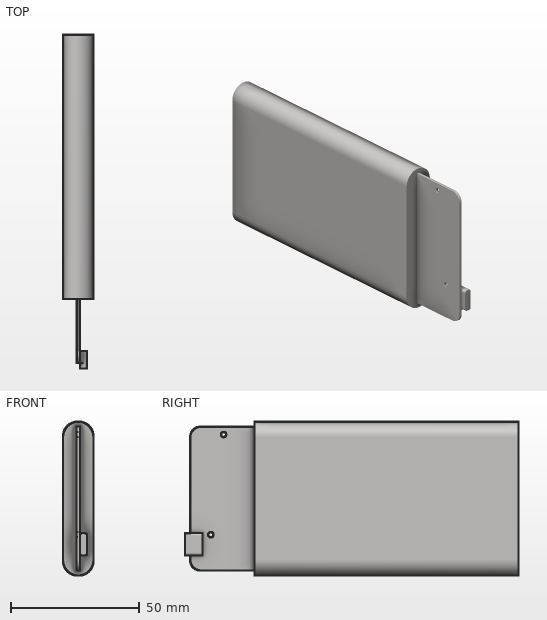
import cadquery as cq

total_length = 130.0
body_thickness = 12.0
body_height = 60.0

board_thickness = 1.2
board_height = 56.0
board_exposed_length = 25.0
board_corner_radius = 4.0
hole_diameter = 2.0
upper_hole_setback = 13.0
upper_hole_z = 25.0
lower_hole_setback = 8.0
lower_hole_z = -14.0

connector_overhang = 2.1
connector_length = 6.9
connector_thickness = 2.9
connector_height = 8.8
connector_corner_radius = 1.0
connector_z = -17.8

board_front_y = connector_overhang
body_front_y = board_front_y + board_exposed_length
body_length = total_length - body_front_y


def make_body():
    """Solid bar along Y with a rounded-end (slot-shaped) section."""
    section = cq.Workplane("XZ", origin=(0, body_front_y, 0))
    return section.slot2D(body_height, body_thickness, 90).extrude(-body_length)


def make_board():
    """Exposed board with rounded front corners and two through holes."""
    board = (
        cq.Workplane("XY")
        .box(board_thickness, board_exposed_length, board_height, centered=(True, False, True))
        .translate((0, board_front_y, 0))
        .edges("|X and <Y")
        .fillet(board_corner_radius)
    )
    hole_centres = [
        (board_front_y + upper_hole_setback, upper_hole_z),
        (board_front_y + lower_hole_setback, lower_hole_z),
    ]
    holes = (
        cq.Workplane("YZ")
        .pushPoints(hole_centres)
        .circle(hole_diameter / 2)
        .extrude(board_thickness, both=True)
    )
    return board.cut(holes)


def make_connector():
    """Rounded box on the board; its board-side edges are rounded only along the overhang."""
    rounded_box = (
        cq.Workplane("XY")
        .box(connector_thickness, connector_length, connector_height, centered=(False, False, True))
        .edges("|Y")
        .fillet(connector_corner_radius)
    )
    square_base = (
        cq.Workplane("XY")
        .box(
            connector_corner_radius,
            connector_length - connector_overhang,
            connector_height,
            centered=(False, False, True),
        )
        .translate((0, connector_overhang, 0))
    )
    return rounded_box.union(square_base).translate((board_thickness / 2, 0, connector_z))


result = make_body().union(make_board()).union(make_connector())